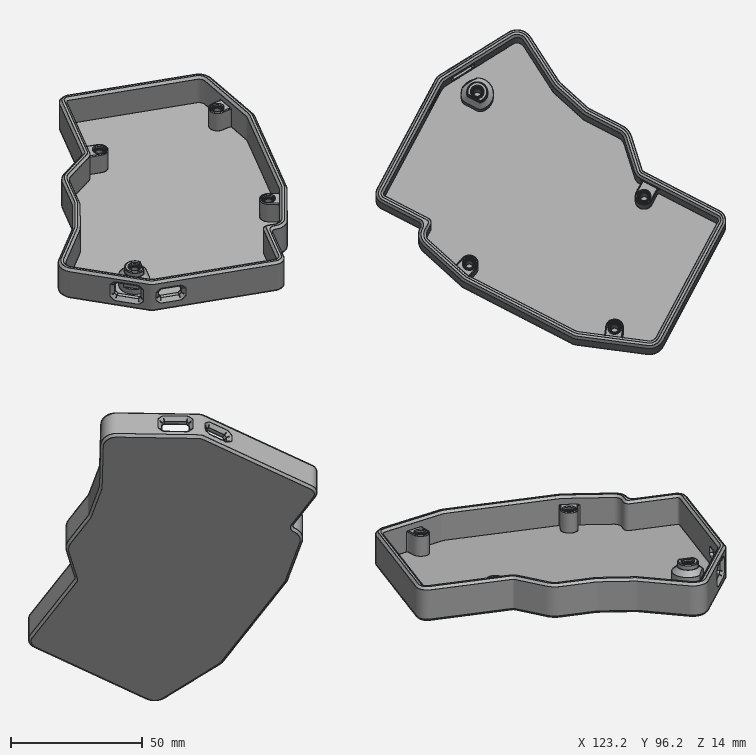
import cadquery as cq
import math


def tan_deg(angle):
    return math.tan(math.radians(angle))


length_x = 123.2
length_y = 96.2
height = 14.0

wall = 3.0
floor = 2.0
edge_chamfer = 1.0

south_west_y = 26.8
step_start_x = 37.3
step_y = 14.9
shallow_slope_start_x = 66.8
steep_slope_start_x = 81.2
north_west_bend_x = 30.2
north_east_bend_x = 77.8
notch_x = 101.7
notch_y = 83.6
step_angle = 45
shallow_angle = 15
steep_angle = 30
north_west_angle = 20
north_east_angle = 15
tip_radius = 6.0

step_end_x = step_start_x + (south_west_y - step_y) / tan_deg(step_angle)
steep_slope_start_y = step_y - (steep_slope_start_x - shallow_slope_start_x) * tan_deg(shallow_angle)
tip_y = tip_radius * (1 - math.sqrt(2) * math.sin(math.radians(45 + steep_angle)))
tip_x = steep_slope_start_x + (steep_slope_start_y - tip_y) / tan_deg(steep_angle)
south_east_y = tip_y + (length_x - tip_x) / tan_deg(steep_angle)
bump_y = length_y - (notch_x - north_east_bend_x) * tan_deg(north_east_angle)
north_west_y = length_y - north_west_bend_x * tan_deg(north_west_angle)

corners = [
    (0, south_west_y, 4.4, 1.0),
    (step_start_x, south_west_y, 1.0, 4.0),
    (step_end_x, step_y, 7.4, 4.0),
    (shallow_slope_start_x, step_y, 4.9, 4.9),
    (steep_slope_start_x, steep_slope_start_y, 4.9, 4.9),
    (tip_x, tip_y, tip_radius, 3.0),
    (length_x, south_east_y, 4.9, 4.9),
    (length_x, notch_y, 4.0, 1.0),
    (notch_x, notch_y, 1.5, 2.0),
    (notch_x, bump_y, 5.8, 3.0),
    (north_east_bend_x, length_y, 4.9, 4.9),
    (north_west_bend_x, length_y, 4.9, 4.9),
    (0, north_west_y, 6.0, 3.0),
]


def unit(start, end):
    """Direction from start to end, one unit long."""
    run = math.dist(start, end)
    return ((end[0] - start[0]) / run, (end[1] - start[1]) / run)


def rounded_outline(inset, z):
    """Closed wire of the outline, moved inwards by inset, with arcs at the corners."""
    arcs = []
    for i, (x, y, outer_radius, inner_radius) in enumerate(corners):
        before = unit(corners[i - 1][:2], (x, y))
        after = unit((x, y), corners[(i + 1) % len(corners)][:2])
        turn = math.asin(before[0] * after[1] - before[1] * after[0])
        side = math.copysign(1, turn)
        radius = inner_radius if inset else outer_radius
        miter = inset / math.sin(abs(turn)) * side
        corner_x = x + (after[0] - before[0]) * miter
        corner_y = y + (after[1] - before[1]) * miter
        setback = radius * math.tan(abs(turn) / 2)
        bulge = radius / math.cos(turn / 2) - radius
        bisector = unit(before, after)
        start = (corner_x - before[0] * setback, corner_y - before[1] * setback)
        middle = (corner_x + bisector[0] * bulge, corner_y + bisector[1] * bulge)
        end = (corner_x + after[0] * setback, corner_y + after[1] * setback)
        arcs.append((start, middle, end))
    outline = cq.Workplane("XY").workplane(offset=z).moveTo(*arcs[0][0])
    for start, middle, end in arcs:
        outline = outline.lineTo(*start) if start != arcs[0][0] else outline
        outline = outline.threePointArc(middle, end)
    return outline.close()


def make_tray():
    block = rounded_outline(0, 0).extrude(height)
    cavity = rounded_outline(wall, floor).extrude(height - floor)
    return block.cut(cavity).faces("<Z or >Z").edges().chamfer(edge_chamfer)


boss_diameter = 6.8
boss_radius = boss_diameter / 2
boss_top = 10.6
boss_chamfer = 0.4
boss_fillet = 0.9
wall_overlap = 1.5
wall_bosses = [
    (18.8, 84.9, 4.0, 90 + north_west_angle),
    (79.1, 88.5, 4.1, 90 - north_east_angle),
    (32.5, 34.7, 4.9, -90),
]


def make_wall_boss(x, y, wall_distance, direction):
    """Round boss with straight sides that run into the wall through concave fillets."""
    foot = boss_radius + boss_fillet
    fillet_start = wall_distance - boss_fillet
    fillet_middle = boss_fillet * math.sqrt(0.5)
    boss = (
        cq.Workplane("XY")
        .moveTo(0, boss_radius)
        .threePointArc((-boss_radius, 0), (0, -boss_radius))
        .lineTo(fillet_start, -boss_radius)
        .threePointArc((fillet_start + fillet_middle, fillet_middle - foot), (wall_distance, -foot))
        .lineTo(wall_distance + wall_overlap, -foot)
        .lineTo(wall_distance + wall_overlap, foot)
        .lineTo(wall_distance, foot)
        .threePointArc((fillet_start + fillet_middle, foot - fillet_middle), (fillet_start, boss_radius))
        .close()
        .extrude(boss_top - floor)
        .faces(">Z")
        .chamfer(boss_chamfer)
    )
    return boss.rotate((0, 0, 0), (0, 0, 1), direction).translate((x, y, floor))


post_x = 107.1
post_y = 28.5
post_radius = 6.2
post_flat = 5.0
post_corner = 2.7
post_shoulder = 2.1
post_neck_inset = 2.2
post_cylinder_top = 6.4


def make_flat_sided_cylinder(inset, bottom, top):
    """Cylinder with a flat on its north side and rounded flat ends, all moved inwards by inset."""
    flat = post_flat - inset
    blank = cq.Workplane("XY").circle(post_radius - inset).extrude(top - bottom)
    side = 4 * post_radius
    keep = cq.Workplane("XY").center(0, flat - side / 2).rect(side, side).extrude(top - bottom)
    cylinder = blank.intersect(keep).edges("|Z").fillet(post_corner - inset)
    return cylinder.translate((post_x, post_y, bottom))


def make_post():
    base = make_flat_sided_cylinder(0, floor, post_cylinder_top + post_shoulder)
    base = base.faces(">Z").edges().chamfer(post_shoulder)
    neck = make_flat_sided_cylinder(post_neck_inset, floor, boss_top)
    neck = neck.faces(">Z").chamfer(boss_chamfer)
    return base.union(neck)


bores = [(4.4, 1.1), (3.7, 1.5), (3.0, boss_top - floor)]


def make_screw_hole(x, y):
    mouth_radius = bores[0][0] / 2 + boss_chamfer
    hole = cq.Workplane("XY").circle(mouth_radius).extrude(-boss_chamfer, taper=45)
    for diameter, depth in bores:
        hole = hole.union(cq.Workplane("XY").circle(diameter / 2).extrude(-depth))
    return hole.translate((x, y, boss_top))


port_corner = 1.0
port_flare = 1.5
east_port = (7.5, 7.1, 9.0, 4.1, 0)
south_east_port = (-9.9, 7.3, 10.3, 6.0, -steep_angle)


def make_port(along, z, width, port_height, direction):
    """Cutter built facing +X, then turned about the south-east corner to the wall's direction."""
    port = (
        cq.Workplane("YZ")
        .rect(width, port_height)
        .extrude(-2 * wall)
        .edges("|X")
        .chamfer(port_corner)
        .translate((-port_flare, 0, 0))
    )
    flare = port.faces(">X").wires().toPending().workplane().extrude(port_flare, taper=-45)
    port = port.union(flare).translate((0, along, z))
    return port.rotate((0, 0, 0), (0, 0, 1), direction).translate((length_x, south_east_y, 0))


result = make_tray().union(make_post())
for wall_boss in wall_bosses:
    result = result.union(make_wall_boss(*wall_boss))
for x, y in [wall_boss[:2] for wall_boss in wall_bosses] + [(post_x, post_y)]:
    result = result.cut(make_screw_hole(x, y))
for port in (east_port, south_east_port):
    result = result.cut(make_port(*port))